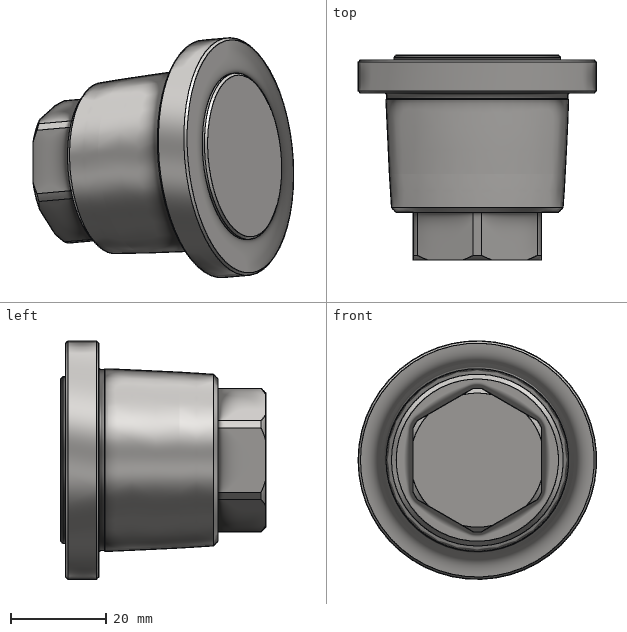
import cadquery as cq
import math

FLANGE_REAR = 1.0
FLANGE_FRONT = 8.0
NECK_END = 9.15
COLLAR_START = 9.3
TAPER_START = 10.0
TAPER_BREAK = 25.0
BODY_END = 33.0
HEX_END = 43.0

REAR_BOSS_RADIUS = 17.5
FLANGE_RADIUS = 25.0
RIM_CHAMFER = 0.5
NECK_RADIUS = 19.0
TAPER_LARGE_RADIUS = 19.15
TAPER_BREAK_RADIUS = 18.45
TAPER_SMALL_RADIUS = 18.0
BODY_CHAMFER = 1.0

RELIEF_OUTER_RADIUS = 20.35
RELIEF_FILLET = 0.6
RELIEF_ANGLE = math.radians(8)

HEX_ACROSS_FLATS = 26.9
HEX_CORNER_RADIUS = 15.05
HEX_CHAMFER = 1.0


def turned(profile):
    """Revolve a closed (radius, axial distance) profile about the plug axis."""
    return profile.close().revolve(360, (0, 0, 0), (0, 1, 0))


def make_body():
    """Rear boss, flange, relief groove and tapered body as one turned solid."""
    fillet_center_radius = NECK_RADIUS + RELIEF_FILLET
    floor_drop = (RELIEF_OUTER_RADIUS - fillet_center_radius) * math.tan(RELIEF_ANGLE)
    fillet_center_axial = FLANGE_FRONT - floor_drop + RELIEF_FILLET / math.cos(RELIEF_ANGLE)

    def on_fillet(angle):
        return (
            fillet_center_radius - RELIEF_FILLET * math.cos(angle),
            fillet_center_axial - RELIEF_FILLET * math.sin(angle),
        )

    floor_angle = math.pi / 2 + RELIEF_ANGLE
    profile = (
        cq.Workplane("XY")
        .lineTo(REAR_BOSS_RADIUS - RIM_CHAMFER, 0)
        .lineTo(REAR_BOSS_RADIUS, RIM_CHAMFER)
        .lineTo(REAR_BOSS_RADIUS, FLANGE_REAR)
        .lineTo(FLANGE_RADIUS - RIM_CHAMFER, FLANGE_REAR)
        .lineTo(FLANGE_RADIUS, FLANGE_REAR + RIM_CHAMFER)
        .lineTo(FLANGE_RADIUS, FLANGE_FRONT - RIM_CHAMFER)
        .lineTo(FLANGE_RADIUS - RIM_CHAMFER, FLANGE_FRONT)
        .lineTo(RELIEF_OUTER_RADIUS, FLANGE_FRONT)
        .lineTo(*on_fillet(floor_angle))
        .threePointArc(on_fillet(floor_angle / 2), on_fillet(0))
        .lineTo(NECK_RADIUS, NECK_END)
        .lineTo(TAPER_LARGE_RADIUS, COLLAR_START)
        .lineTo(TAPER_LARGE_RADIUS, TAPER_START)
        .lineTo(TAPER_BREAK_RADIUS, TAPER_BREAK)
        .lineTo(TAPER_SMALL_RADIUS, BODY_END - BODY_CHAMFER)
        .lineTo(TAPER_SMALL_RADIUS - BODY_CHAMFER, BODY_END)
        .lineTo(0, BODY_END)
    )
    return turned(profile)


def make_hex_head():
    """Hexagon with flats facing +X and -X, corners turned down and end chamfered."""
    across_corners = HEX_ACROSS_FLATS / math.cos(math.pi / 6)
    prism = (
        cq.Workplane("XZ", origin=(0, BODY_END, 0))
        .transformed(rotate=(0, 0, 90))
        .polygon(6, across_corners)
        .extrude(BODY_END - HEX_END)
    )
    envelope = turned(
        cq.Workplane("XY")
        .moveTo(0, BODY_END)
        .lineTo(HEX_CORNER_RADIUS, BODY_END)
        .lineTo(HEX_CORNER_RADIUS, HEX_END - HEX_CHAMFER)
        .lineTo(HEX_CORNER_RADIUS - HEX_CHAMFER, HEX_END)
        .lineTo(0, HEX_END)
    )
    return prism.intersect(envelope)


result = make_body().union(make_hex_head()).rotate((0, 0, 0), (0, 0, 1), 180)